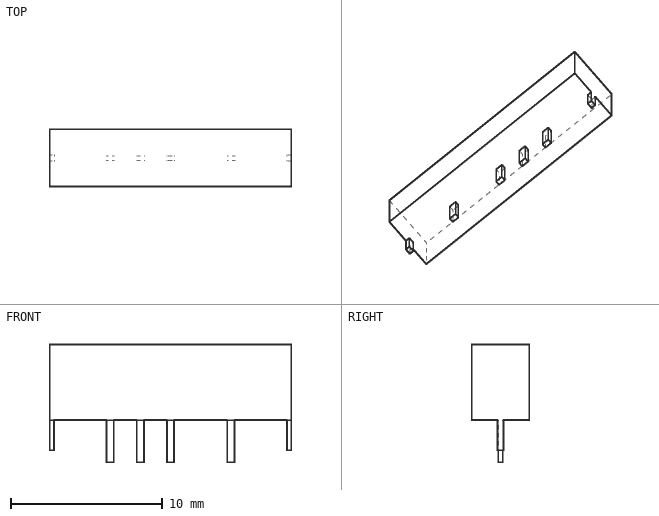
import cadquery as cq

body_length = 16.0
body_width = 3.8
body_height = 5.0

pin_pitch = 2.0
pin_positions = (-2, -1, 0, 2)
pin_width = 0.5
pin_thickness = 0.3
pin_length = 2.8

end_pin_width = 0.3
end_pin_thickness = 0.4
end_pin_length = 2.0


def make_pin(x_center, width, thickness, length):
    """Rectangular pin hanging below the body's underside at Z = 0."""
    pin = cq.Workplane("XY").box(width, thickness, length, centered=(True, True, False))
    return pin.translate((x_center, 0, -length))


result = cq.Workplane("XY").box(body_length, body_width, body_height, centered=(True, True, False))

for position in pin_positions:
    result = result.union(make_pin(position * pin_pitch, pin_width, pin_thickness, pin_length))

end_pin_offset = (body_length - end_pin_width) / 2
for side in (-1, 1):
    result = result.union(
        make_pin(side * end_pin_offset, end_pin_width, end_pin_thickness, end_pin_length)
    )